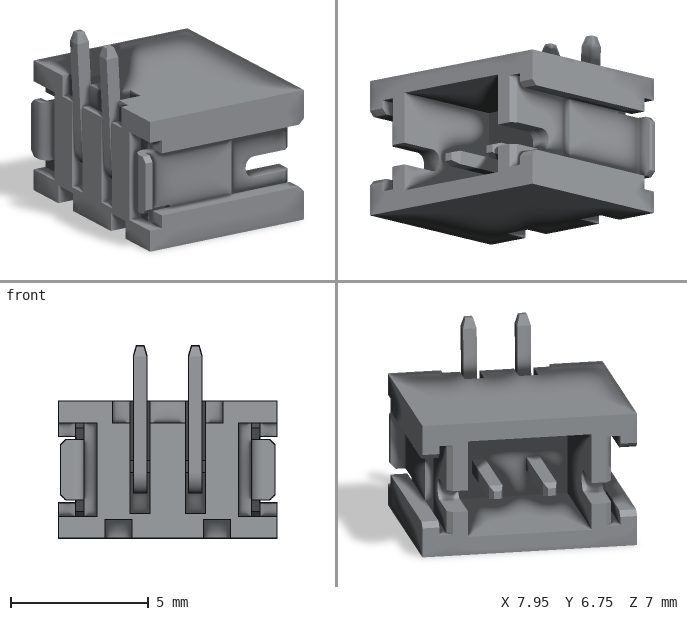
import cadquery as cq
import math


housing_width = 7.95
housing_length = 6.6
housing_height = 5.0
half_width = housing_width / 2
mid_height = housing_height / 2

cavity_half_width = 2.29
cavity_wall = 0.68
back_wall = 2.0

slot_inside = 3.045
channel_height = 2.39
lead_in = 0.2
pocket_floor = 2.57
pocket_depth = 0.5
slot_height = 3.395

window_length = 1.91
window_bottom = 1.65
window_height = 0.8
window_radius = 0.36

step_width = 4.02
step_depth = 0.31
step_height = 0.8

notch_width = 0.99
notch_height = cavity_wall
notch_depth = 1.0

groove_width = 0.72
groove_bottom = 0.91
groove_depth = 0.8
groove_top_depth = 1.24
slope_bottom = 2.4

pin_pitch = 2.0
pin_size = 0.5
pin_bottom = 1.65
pin_bend_radius = 0.49
pin_lean = 2.9
pin_tip_length = 0.38
pin_tip_size = 0.29
pin_end = 5.64
total_height = 7.0

tab_thickness = 0.3
tab_height = 2.21
tab_front = 0.15
tab_reach = 3.9
tab_bend_radius = 0.1
tab_corner = 0.2
tab_head_start = 1.25
tab_end = 3.89
tab_head_chamfer = 0.18

slot_outside = slot_inside + tab_thickness
pin_positions = [-pin_pitch / 2, pin_pitch / 2]
pin_axis_height = pin_bottom + pin_size / 2


def box(x_range, y_range, z_range):
    """Box between the given limits along each axis."""
    sizes = [high - low for low, high in (x_range, y_range, z_range)]
    corner = (x_range[0], y_range[0], z_range[0])
    return cq.Workplane("XY").box(*sizes, centered=False).translate(corner)


def centred_range(centre, size):
    """Limits of a span with the given middle."""
    return (centre - size / 2, centre + size / 2)


def both_sides(body):
    """The body on the +X side and its mirror image on the -X side."""
    return [body, body.mirror("YZ")]


def side_channel():
    """Open channel between the flanges on the +X side, flared at its rear end."""
    half_channel = channel_height / 2
    half_rear = half_channel + lead_in
    return (
        cq.Workplane("YZ", origin=(slot_inside, 0, mid_height))
        .polyline([
            (0, -half_channel),
            (housing_length - lead_in, -half_channel),
            (housing_length, -half_rear),
            (housing_length, half_rear),
            (housing_length - lead_in, half_channel),
            (0, half_channel),
        ])
        .close()
        .extrude(half_width - slot_inside)
    )


def front_pocket():
    """Pocket in the +X front corner that clears the tab's flange."""
    heights = centred_range(mid_height, slot_height)
    return box((pocket_floor, half_width), (0, pocket_depth), heights)


def tab_slot():
    """Full-length slot on the +X side that holds the tab, with the side wall chamfered at the rear."""
    return (
        cq.Workplane("XY", origin=(0, 0, mid_height - slot_height / 2))
        .polyline([
            (slot_inside, 0),
            (slot_outside, 0),
            (slot_outside, housing_length),
            (slot_inside - lead_in, housing_length),
            (slot_inside, housing_length - lead_in),
        ])
        .close()
        .extrude(slot_height)
    )


def bottom_notch():
    """Notch in the bottom front edge on the +X side, in line with the cavity's side wall."""
    widths = (cavity_half_width - notch_width, cavity_half_width)
    return box(widths, (0, notch_depth), (0, notch_height))


def wall_window():
    """Round-cornered opening that passes through both side walls and out of the rear."""
    window_top = window_bottom + window_height
    return box(
        (-half_width, half_width),
        (housing_length - window_length, housing_length),
        (window_bottom, window_top),
    ).edges("|X and <Y").fillet(window_radius)


def pin_groove(x):
    """Groove in the front face for one upright leg, deeper above a 45 degree slope."""
    slope_top = slope_bottom + groove_top_depth - groove_depth
    return (
        cq.Workplane("YZ", origin=(x - groove_width / 2, 0, 0))
        .polyline([
            (0, groove_bottom),
            (groove_depth, groove_bottom),
            (groove_depth, slope_bottom),
            (groove_top_depth, slope_top),
            (groove_top_depth, housing_height),
            (0, housing_height),
        ])
        .close()
        .extrude(groove_width)
    )


def pin_hole(x):
    """Square hole for one pin, from its groove through to the cavity."""
    return box(
        centred_range(x, pin_size),
        (groove_depth, back_wall),
        centred_range(pin_axis_height, pin_size),
    )


def make_housing():
    housing = box((-half_width, half_width), (0, housing_length), (0, housing_height))
    cavity = box(
        (-cavity_half_width, cavity_half_width),
        (back_wall, housing_length),
        (cavity_wall, housing_height - cavity_wall),
    )
    top_step = box(
        centred_range(0, step_width),
        (0, step_depth),
        (housing_height - step_height, housing_height),
    )
    housing = housing.cut(cavity).cut(top_step).cut(wall_window())
    for side_cut in (side_channel(), front_pocket(), tab_slot(), bottom_notch()):
        for cutter in both_sides(side_cut):
            housing = housing.cut(cutter)
    for x in pin_positions:
        housing = housing.cut(pin_groove(x)).cut(pin_hole(x))
    return housing


def pin_tip(base, direction):
    """Tapered square tip that starts at the base point and points along the direction."""
    plane = cq.Plane(origin=base, xDir=(1, 0, 0), normal=direction)
    return (
        cq.Workplane(plane)
        .rect(pin_size, pin_size)
        .workplane(offset=pin_tip_length)
        .rect(pin_tip_size, pin_tip_size)
        .loft(ruled=True)
    )


def make_pin(x):
    """Square pin: a level mating leg, a bend, and a leg that rises with a slight lean."""
    lean = math.radians(pin_lean)
    bend_start = (groove_depth, pin_axis_height)
    bend_turn = math.pi / 2 - lean

    def on_bend(angle):
        return (
            groove_depth - pin_bend_radius * math.sin(angle),
            pin_axis_height + pin_bend_radius * (1 - math.cos(angle)),
        )

    bend_end = on_bend(bend_turn)
    tip_rise = pin_tip_length * math.cos(lean) + pin_tip_size / 2 * math.sin(lean)
    leg_rise = total_height - tip_rise - bend_end[1]
    leg_top = (bend_end[0] - leg_rise * math.tan(lean), bend_end[1] + leg_rise)
    mating_shoulder = pin_end - pin_tip_length

    path = (
        cq.Workplane("YZ", origin=(x, 0, 0))
        .moveTo(mating_shoulder, pin_axis_height)
        .lineTo(*bend_start)
        .threePointArc(on_bend(bend_turn / 2), bend_end)
        .lineTo(*leg_top)
    )
    shank = (
        cq.Workplane("XZ", origin=(x, mating_shoulder, pin_axis_height))
        .rect(pin_size, pin_size)
        .sweep(path)
    )
    mating_tip = pin_tip((x, mating_shoulder, pin_axis_height), (0, 1, 0))
    upper_tip = pin_tip((x, *leg_top), (0, -math.sin(lean), math.cos(lean)))
    return shank.union(mating_tip).union(upper_tip)


def make_tab():
    """Solder tab on the +X side: a plate in the side slot that bends outwards into a flange."""
    flange_back = tab_thickness - tab_front
    outer_radius = tab_bend_radius + tab_thickness
    bend_x = slot_outside + tab_bend_radius
    bend_y = flange_back + tab_bend_radius
    diagonal = math.sqrt(0.5)

    strip = (
        cq.Workplane("XY", origin=(0, 0, mid_height - tab_height / 2))
        .moveTo(slot_inside, tab_end)
        .lineTo(slot_inside, bend_y)
        .threePointArc(
            (bend_x - outer_radius * diagonal, bend_y - outer_radius * diagonal),
            (bend_x, -tab_front),
        )
        .lineTo(tab_reach, -tab_front)
        .lineTo(tab_reach, flange_back)
        .lineTo(bend_x, flange_back)
        .threePointArc(
            (bend_x - tab_bend_radius * diagonal, bend_y - tab_bend_radius * diagonal),
            (slot_outside, bend_y),
        )
        .lineTo(slot_outside, tab_end)
        .close()
        .extrude(tab_height)
        .edges("|Y and >X")
        .chamfer(tab_corner)
    )
    head = box(
        (slot_inside, slot_outside),
        (tab_head_start, tab_end),
        centred_range(mid_height, slot_height),
    ).edges("|X and <Y").chamfer(tab_head_chamfer)
    return strip.union(head)


housing = make_housing()
pins = [make_pin(x) for x in pin_positions]
tabs = both_sides(make_tab())

result = cq.Compound.makeCompound([body.solids().val() for body in [housing, *pins, *tabs]])